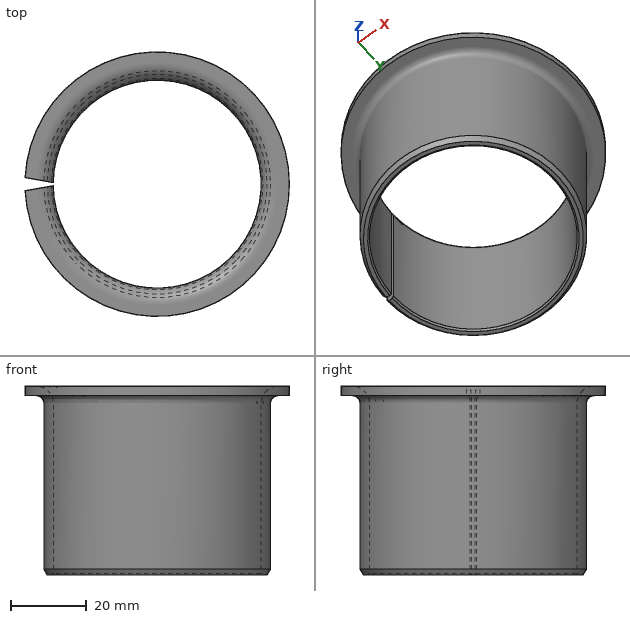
import cadquery as cq
import math

flange_diameter = 70.0
body_diameter = 60.0
wall = 2.5
height = 50.0
neck_radius = 2.0
lead_in_height = 1.6
lead_in_angle = 30.0
bore_chamfer = 0.5
slit_half_angle = 10.0
slit_apex_radius = 25.2

flange_radius = flange_diameter / 2
outer_radius = body_diameter / 2
bore_radius = outer_radius - wall
mouth_radius = neck_radius + wall
lead_in_width = lead_in_height * math.tan(math.radians(lead_in_angle))
round_center_r = outer_radius + neck_radius
round_center_z = height - mouth_radius
diagonal = math.sqrt(0.5)


def arc_middle(radius):
    """Midpoint of a quarter round leading from the wall to the flange."""
    return (round_center_r - radius * diagonal, round_center_z + radius * diagonal)


def flanged_sleeve():
    """Constant-thickness sleeve curving outward into a flat flange."""
    profile = (
        cq.Workplane("XZ")
        .moveTo(bore_radius + bore_chamfer, 0)
        .lineTo(outer_radius - lead_in_width, 0)
        .lineTo(outer_radius, lead_in_height)
        .lineTo(outer_radius, round_center_z)
        .threePointArc(arc_middle(neck_radius), (round_center_r, height - wall))
        .lineTo(flange_radius, height - wall)
        .lineTo(flange_radius, height)
        .lineTo(round_center_r, height)
        .threePointArc(arc_middle(mouth_radius), (bore_radius, round_center_z))
        .lineTo(bore_radius, bore_chamfer)
        .close()
    )
    sleeve = profile.revolve(360, (0, 0, 0), (0, 1, 0))
    return sleeve.rotate((0, 0, 0), (0, 0, 1), 180)


def slit_wedge():
    """Wedge opening toward -X, cutting the whole height of the wall."""
    reach = flange_diameter
    half_width = (reach - slit_apex_radius) * math.tan(math.radians(slit_half_angle))
    return (
        cq.Workplane("XY")
        .polyline([(-slit_apex_radius, 0), (-reach, half_width), (-reach, -half_width)])
        .close()
        .extrude(height)
    )


result = flanged_sleeve().cut(slit_wedge())